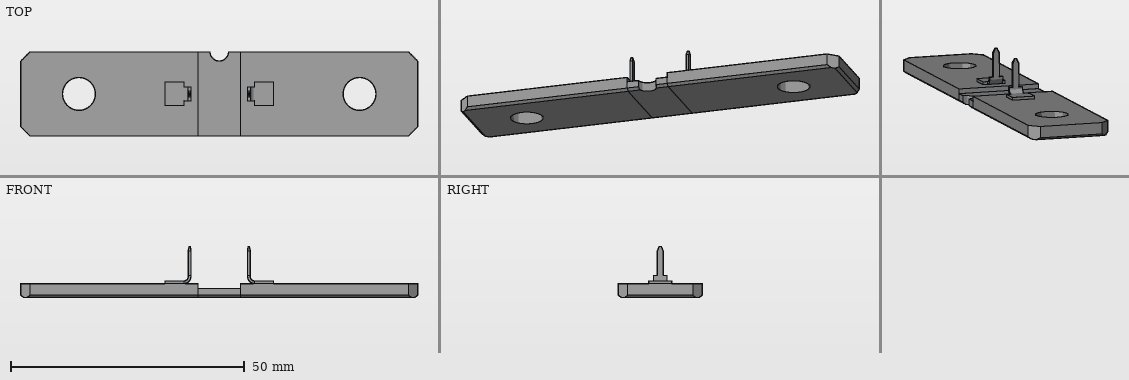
import cadquery as cq

LENGTH = 85.0
WIDTH = 18.0
TERMINAL_THICKNESS = 3.0
CORNER_CUT = 2.0
BEVEL_HEIGHT = 0.5
BEVEL_INSET = 0.7
HOLE_DIAMETER = 7.0
HOLE_SPACING = 60.0

STRIP_LENGTH = 9.0
STRIP_STEP = 1.0
STRIP_THICKNESS = TERMINAL_THICKNESS - STRIP_STEP
NOTCH_RADIUS = 1.95

TOTAL_HEIGHT = 11.0
PAD_LENGTH = 4.1
PAD_WIDTH = 5.0
METAL_THICKNESS = 0.6
BEND_INNER_RADIUS = 0.9
BEND_OUTER_RADIUS = BEND_INNER_RADIUS + METAL_THICKNESS
BEND_START = 7.6
PAD_END = BEND_START + PAD_LENGTH
BLADE_FACE = BEND_START - BEND_OUTER_RADIUS
NECK_WIDTH = 3.0
NECK_HEIGHT = 1.8
BLADE_WIDTH = 1.4
PIN_HEIGHT = TOTAL_HEIGHT - TERMINAL_THICKNESS
TIP_SIDE_DROP = 1.0
TIP_SIDE_INSET = 0.47
TIP_FACE_DROP = 0.8
TIP_FACE_INSET = 0.2


def make_plate_blank():
    """Full-length bar with bevelled bottom edges and cut-off vertical corners."""
    bar = (
        cq.Workplane("XY")
        .rect(LENGTH - 2 * BEVEL_INSET, WIDTH - 2 * BEVEL_INSET)
        .workplane(offset=BEVEL_HEIGHT)
        .rect(LENGTH, WIDTH)
        .loft(ruled=True)
        .faces(">Z")
        .workplane()
        .rect(LENGTH, WIDTH)
        .extrude(TERMINAL_THICKNESS - BEVEL_HEIGHT)
    )
    corner_outline = (
        cq.Workplane("XY").rect(LENGTH, WIDTH).extrude(TERMINAL_THICKNESS).edges("|Z").chamfer(CORNER_CUT)
    )
    return bar.intersect(corner_outline)


def make_strip():
    """Thinner middle section with a half-round notch in its +Y edge."""
    envelope = cq.Workplane("XY").box(STRIP_LENGTH, WIDTH, STRIP_THICKNESS, centered=(True, True, False))
    notch = cq.Workplane("XY").center(0, WIDTH / 2).circle(NOTCH_RADIUS).extrude(STRIP_THICKNESS)
    return make_plate_blank().intersect(envelope).cut(notch)


def make_pin():
    """Sense pin on the +X side, standing on the terminal's top face."""
    top = cq.Workplane("XY", origin=(0, 0, TERMINAL_THICKNESS))
    pad = top.center(BEND_START + PAD_LENGTH / 2, 0).rect(PAD_LENGTH, PAD_WIDTH).extrude(METAL_THICKNESS)

    profile = (
        cq.Workplane("XZ", origin=(0, 0, TERMINAL_THICKNESS))
        .moveTo(PAD_END, 0)
        .lineTo(BEND_START, 0)
        .radiusArc((BLADE_FACE, BEND_OUTER_RADIUS), BEND_OUTER_RADIUS)
        .lineTo(BLADE_FACE, PIN_HEIGHT - TIP_FACE_DROP)
        .lineTo(BLADE_FACE + TIP_FACE_INSET, PIN_HEIGHT)
        .lineTo(BLADE_FACE + METAL_THICKNESS - TIP_FACE_INSET, PIN_HEIGHT)
        .lineTo(BLADE_FACE + METAL_THICKNESS, PIN_HEIGHT - TIP_FACE_DROP)
        .lineTo(BLADE_FACE + METAL_THICKNESS, BEND_OUTER_RADIUS)
        .radiusArc((BEND_START, METAL_THICKNESS), -BEND_INNER_RADIUS)
        .lineTo(PAD_END, METAL_THICKNESS)
        .close()
        .extrude(NECK_WIDTH / 2, both=True)
    )

    half_neck = NECK_WIDTH / 2
    half_blade = BLADE_WIDTH / 2
    half_tip = half_blade - TIP_SIDE_INSET
    front_outline = (
        cq.Workplane("YZ", origin=(0, 0, TERMINAL_THICKNESS))
        .polyline(
            [
                (-half_neck, 0),
                (half_neck, 0),
                (half_neck, NECK_HEIGHT),
                (half_blade, NECK_HEIGHT),
                (half_blade, PIN_HEIGHT - TIP_SIDE_DROP),
                (half_tip, PIN_HEIGHT),
                (-half_tip, PIN_HEIGHT),
                (-half_blade, PIN_HEIGHT - TIP_SIDE_DROP),
                (-half_blade, NECK_HEIGHT),
                (-half_neck, NECK_HEIGHT),
            ]
        )
        .close()
        .extrude(PAD_END)
    )
    return pad.union(profile.intersect(front_outline))


def make_terminal():
    """Terminal on the +X side, with its bolt hole and its sense pin."""
    span = (LENGTH - STRIP_LENGTH) / 2
    hole_axis = cq.Workplane("XY", origin=(HOLE_SPACING / 2, 0, 0))
    hole = hole_axis.circle(HOLE_DIAMETER / 2).extrude(TERMINAL_THICKNESS)
    inner_end = cq.Workplane("XY", origin=(STRIP_LENGTH / 2, 0, 0))
    envelope = inner_end.box(span, WIDTH, TERMINAL_THICKNESS, centered=(False, True, False))
    return make_plate_blank().intersect(envelope).cut(hole).union(make_pin())


strip = make_strip()
terminals = []
for turn in (0, 180):
    terminals.append(make_terminal().rotate((0, 0, 0), (0, 0, 1), turn))

result = cq.Compound.makeCompound([strip.val(), *[terminal.val() for terminal in terminals]])